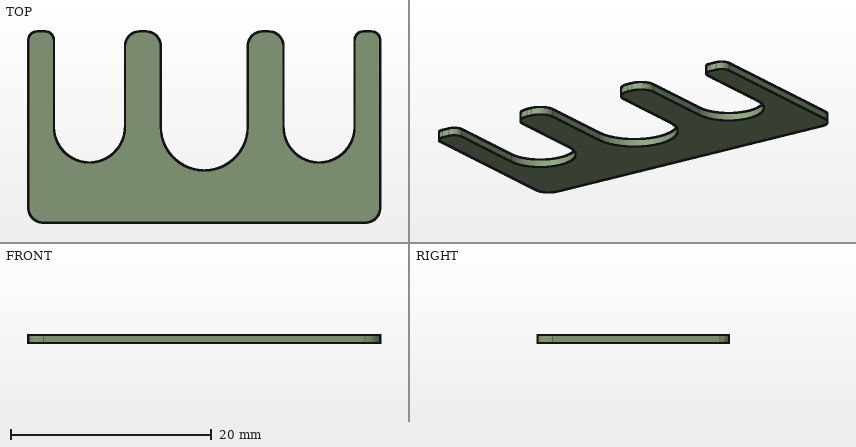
import cadquery as cq

length = 35.05
width = 19.05
thickness = 0.8
base_corner_radius = 1.5

center_slot_width = 8.62
side_slot_width = 7.05
side_slot_offset = 11.43

inner_tip_radius = 1.5
outer_tip_radius = 0.9

inner_finger_x = (center_slot_width / 2 + side_slot_offset - side_slot_width / 2) / 2
outer_finger_x = (side_slot_offset + side_slot_width / 2 + length / 2) / 2


def open_slot(x, slot_width):
    """Round-ended slot running from the plate centreline out through the +Y edge."""
    radius = slot_width / 2
    return (
        cq.Workplane("XY")
        .moveTo(x - radius, width)
        .lineTo(x - radius, 0)
        .threePointArc((x, -radius), (x + radius, 0))
        .lineTo(x + radius, width)
        .close()
        .extrude(thickness)
    )


def finger_tip_edges(x):
    """Select the two vertical edges at the tip of the finger centred on x."""
    reach = side_slot_width / 2
    low = (x - reach, width / 2 - thickness, 0)
    high = (x + reach, width / 2 + thickness, thickness)
    return cq.selectors.BoxSelector(low, high)


plate = cq.Workplane("XY").box(length, width, thickness, centered=(True, True, False))
plate = plate.edges("|Z and <Y").fillet(base_corner_radius)

plate = plate.cut(open_slot(0, center_slot_width))
for side in (-1, 1):
    plate = plate.cut(open_slot(side * side_slot_offset, side_slot_width))

for side in (-1, 1):
    for finger_x, tip_radius in (
        (inner_finger_x, inner_tip_radius),
        (outer_finger_x, outer_tip_radius),
    ):
        tip_edges = plate.edges("|Z").edges(finger_tip_edges(side * finger_x))
        plate = plate.newObject(tip_edges.vals()).fillet(tip_radius)

result = plate